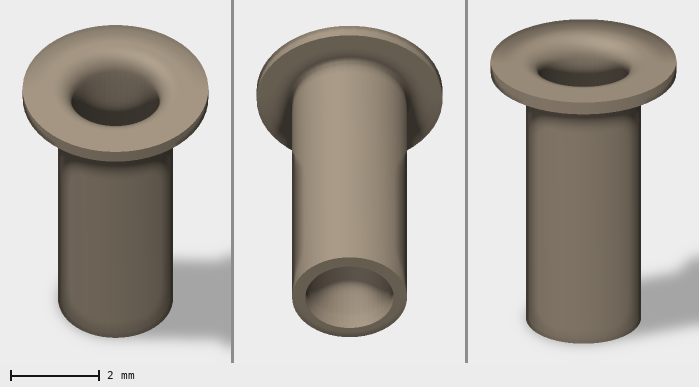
import cadquery as cq

flange_diameter = 4.2
bore_diameter = 2.0
wall = 0.3
length = 6.5
inner_bend_radius = 0.1

tube_diameter = bore_diameter + 2 * wall
mouth_bend_radius = inner_bend_radius + wall
flange_underside = length - wall


def make_body():
    """Tube standing on Z = 0 with a flat flange at its top."""
    tube = cq.Workplane("XY").circle(tube_diameter / 2).extrude(length)
    flange = (
        cq.Workplane("XY")
        .workplane(offset=flange_underside)
        .circle(flange_diameter / 2)
        .extrude(wall)
    )
    return tube.union(flange)


def round_flange_root(body):
    """Fillet the corner between the tube and the underside of the flange."""
    corner = cq.selectors.RadiusNthSelector(0)
    return body.faces("<Z[1]").edges(corner).fillet(inner_bend_radius)


def cut_bore(body):
    """Bore the tube right through and round the mouth at the flange face."""
    bored = body.faces(">Z").workplane().hole(bore_diameter)
    mouth = cq.selectors.RadiusNthSelector(0)
    return bored.faces(">Z").edges(mouth).fillet(mouth_bend_radius)


result = cut_bore(round_flange_root(make_body()))